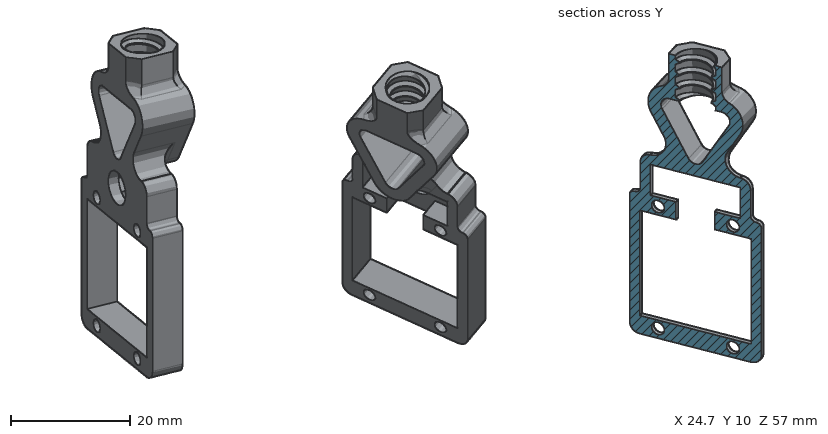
import cadquery as cq
import math


plate_depth = 5.8
full_depth = 10.0
part_height = 56.96
window_size = 20.72
window_bottom = 3.68
wall = 2.0
body_half_width = window_size / 2
frame_half_width = body_half_width + wall
frame_top = 28.0
frame_corner_radius = 2.0
step_radius = 0.95
shoulder_height = 36.0
shoulder_radius = 2.0
waist_radius = 2.9

corner_spacing = 9.8
loop_bottom = 38.0
loop_top = loop_bottom + corner_spacing * math.sin(math.radians(60))
opening_corner_radius = 1.5
opening_top = loop_top + opening_corner_radius
loop_corner_radius = 4.0
loop_fillet = 2.0

neck_size = 10.0
neck_chamfer = 2.0
neck_fillet = 2.0

screw_hole_diameter = 2.3
screw_half_spacing = 7.0
screw_heights = (2.0, 26.1)
shaft_hole_diameter = 6.0
shaft_height = frame_top + shaft_hole_diameter / 2

recess_front = 2.0
recess_width = window_size - 2 * wall
channel_width = 7.2

thread_minor_radius = 2.97
thread_major_radius = 3.7
thread_pitch = 2.5
thread_crest_width = 0.2
thread_root_width = 1.4
thread_turns = 5
thread_overlap = 0.07
sleeve_radius = 4.4
thread_start_depth = 1.3

side_sin = math.sin(math.radians(30))
side_cos = math.cos(math.radians(30))
tolerance = 0.01


def front_plane():
    """Workplane on the front face with local axes X and Z; a negative extrusion goes towards +Y."""
    return cq.Workplane("XZ")


def block(width, y_start, y_end, z_start, z_end):
    """Rectangular block centred on X = 0."""
    corner = (-width / 2, y_start, z_start)
    return cq.Workplane("XY", origin=corner).box(width, y_end - y_start, z_end - z_start, centered=False)


def through_hole(diameter, x, z):
    """Cutter for a round hole along Y."""
    return front_plane().center(x, z).circle(diameter / 2).extrude(-full_depth)


def rounded_triangle(radius):
    """Full-depth prism whose outline runs at `radius` around the three loop corner centres."""
    half = corner_spacing / 2
    side_x = radius * side_cos
    side_z = radius * side_sin
    return (
        front_plane()
        .moveTo(-half, loop_top + radius)
        .lineTo(half, loop_top + radius)
        .threePointArc((half + side_x, loop_top + side_z), (half + side_x, loop_top - side_z))
        .lineTo(side_x, loop_bottom - side_z)
        .threePointArc((0, loop_bottom - radius), (-side_x, loop_bottom - side_z))
        .lineTo(-half - side_x, loop_top - side_z)
        .threePointArc((-half - side_x, loop_top + side_z), (-half, loop_top + radius))
        .close()
        .extrude(-full_depth)
    )


def make_plate():
    """Frame and body outline up to the waist arcs, which run tangent into the loop's sides."""
    waist_z = shoulder_height + waist_radius
    waist_x = (loop_corner_radius + waist_radius + (waist_z - loop_bottom) * side_sin) / side_cos
    waist_end = (waist_x - waist_radius * side_cos, waist_z + waist_radius * side_sin)
    half_plate = (
        front_plane()
        .lineTo(frame_half_width - frame_corner_radius, 0)
        .radiusArc((frame_half_width, frame_corner_radius), -frame_corner_radius)
        .lineTo(frame_half_width, frame_top - step_radius)
        .radiusArc((frame_half_width - step_radius, frame_top), -step_radius)
        .lineTo(body_half_width + step_radius, frame_top)
        .radiusArc((body_half_width, frame_top + step_radius), step_radius)
        .lineTo(body_half_width, shoulder_height - shoulder_radius)
        .radiusArc((body_half_width - shoulder_radius, shoulder_height), -shoulder_radius)
        .lineTo(waist_x, shoulder_height)
        .radiusArc(waist_end, waist_radius)
        .lineTo(0, waist_end[1])
        .close()
        .extrude(-plate_depth)
    )
    return half_plate.union(half_plate.mirror("YZ"))


def make_neck():
    """Square post with chamfered corners, reaching down into the loop."""
    return block(neck_size, 0, full_depth, loop_top, part_height).edges("|Z").chamfer(neck_chamfer)


def fillet_neck_base(body):
    """Round the side and corner faces of the neck into the top of the loop."""
    base_z = loop_top + loop_corner_radius
    flat_half = neck_size / 2 - neck_chamfer

    def on_neck_base(edge):
        center = edge.Center()
        runs_in_depth = edge.BoundingBox().ylen > neck_chamfer / 2
        return abs(center.z - base_z) < neck_chamfer / 4 and abs(center.x) > flat_half and runs_in_depth

    edges = [edge for edge in body.edges().vals() if on_neck_base(edge)]
    return body.newObject(edges).fillet(neck_fillet)


def fillet_loop_base(body):
    """Round the foot of the loop where it stands on the back of the plate."""

    def on_loop_base(edge):
        center = edge.Center()
        flat_in_depth = edge.BoundingBox().ylen < tolerance
        on_back = flat_in_depth and abs(center.y - plate_depth) < tolerance
        within_loop = loop_bottom - loop_corner_radius < center.z < shoulder_height + waist_radius
        return on_back and within_loop and abs(center.x) < neck_size / 2

    edges = [edge for edge in body.edges().vals() if on_loop_base(edge)]
    return body.newObject(edges).fillet(loop_fillet)


def make_recess():
    """Cutter for the slot behind the shaft hole and the channel that joins it to the window."""
    shaft_top = shaft_height + shaft_hole_diameter / 2
    slot = block(recess_width, recess_front, full_depth, frame_top, shaft_top)
    channel = block(channel_width, recess_front, plate_depth, window_bottom, shaft_height)
    return slot.union(channel)


def neck_plug(radius):
    """Cylinder on the neck axis, from the top of the loop opening to the top of the part."""
    origin = (0, full_depth / 2, opening_top)
    return cq.Workplane("XY", origin=origin).circle(radius).extrude(part_height - opening_top)


def make_thread_groove():
    """Right-handed helical groove with sloped flanks, running past both ends of the neck."""
    length = thread_pitch * thread_turns
    root_half = thread_root_width / 2
    mouth_half = (thread_pitch - thread_crest_width) / 2
    flank_slope = (mouth_half - root_half) / (thread_major_radius - thread_minor_radius)
    inner_radius = thread_minor_radius - thread_overlap
    inner_half = mouth_half + thread_overlap * flank_slope
    profile = (
        cq.Workplane("XZ")
        .moveTo(inner_radius, -inner_half)
        .lineTo(thread_major_radius, -root_half)
        .lineTo(thread_major_radius, root_half)
        .lineTo(inner_radius, inner_half)
        .close()
    )
    helix = cq.Workplane(cq.Wire.makeHelix(thread_pitch, length, thread_major_radius))
    groove_top = part_height - thread_start_depth + thread_pitch
    return profile.sweep(helix, isFrenet=True).translate((0, full_depth / 2, groove_top - length))


def make_threaded_sleeve():
    """Wall of the threaded hole, with a 45 degree countersink at its mouth."""
    sleeve = neck_plug(sleeve_radius).cut(neck_plug(thread_minor_radius))
    mouth_edge = sleeve.faces(">Z").edges(cq.selectors.RadiusNthSelector(0))
    sleeve = mouth_edge.chamfer(thread_major_radius - thread_minor_radius)
    return sleeve.cut(make_thread_groove())


def cut_plate_holes(body):
    """Cut the recess, the window, the shaft hole and the four screw holes."""
    window = block(window_size, 0, plate_depth, window_bottom, window_bottom + window_size)
    body = body.cut(make_recess()).cut(window)
    body = body.cut(through_hole(shaft_hole_diameter, 0, shaft_height))
    for z in screw_heights:
        for x in (-screw_half_spacing, screw_half_spacing):
            body = body.cut(through_hole(screw_hole_diameter, x, z))
    return body


body = make_plate().union(rounded_triangle(loop_corner_radius)).union(make_neck())
body = fillet_neck_base(body)
body = fillet_loop_base(body)
body = cut_plate_holes(body)
body = body.cut(rounded_triangle(opening_corner_radius))
body = body.cut(neck_plug(sleeve_radius))
result = body.union(make_threaded_sleeve())